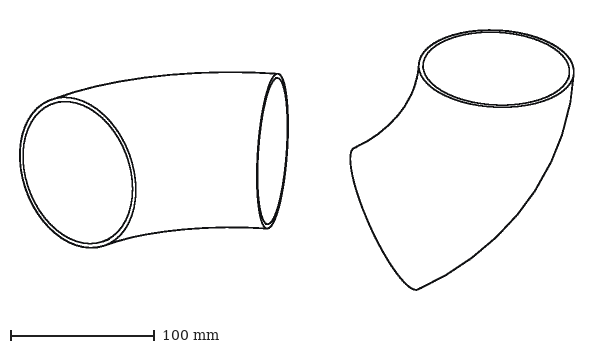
import cadquery as cq
import math

overall_length = 170.2
bend_angle = 60.0
outer_diameter = 108.0
wall = 3.0

outer_radius = outer_diameter / 2
inner_radius = outer_radius - wall
bend_radius = overall_length / math.sin(math.radians(bend_angle)) - outer_radius

inlet_ring = cq.Workplane("XZ").circle(outer_radius).circle(inner_radius)
result = inlet_ring.revolve(bend_angle, (bend_radius, 0, 0), (bend_radius, -1, 0))